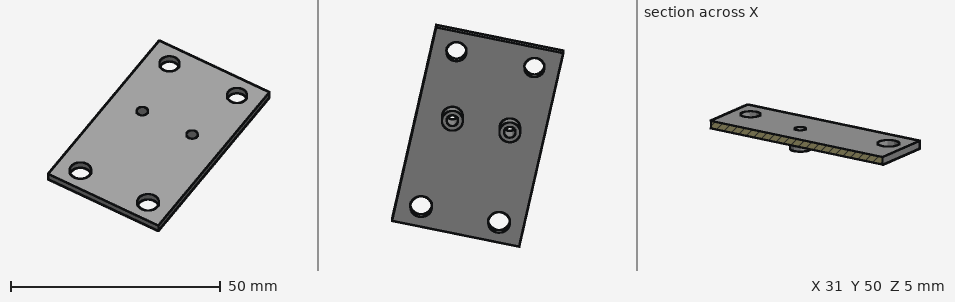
import cadquery as cq

plate_width = 31.0
plate_length = 50.0
plate_thickness = 2.0

corner_spacing_x = 19.0
corner_spacing_y = 40.0
back_hole_diameter = 4.8
front_hole_diameter = 5.2

standoff_spacing = 14.0
standoff_y = 3.8
standoff_diameter = 5.0
standoff_height = 3.0
bore_diameter = 2.7


def pair_of_points(spacing, y):
    """Two points mirrored about the YZ plane."""
    return [(-spacing / 2, y), (spacing / 2, y)]


def cylinders(points, diameter, bottom, height):
    """Equal upright cylinders standing on the level `bottom`."""
    return cq.Workplane("XY", origin=(0, 0, bottom)).pushPoints(points).circle(diameter / 2).extrude(height)


total_height = plate_thickness + standoff_height
standoff_points = pair_of_points(standoff_spacing, standoff_y)

plate = cq.Workplane("XY").box(plate_width, plate_length, plate_thickness, centered=(True, True, False))
standoffs = cylinders(standoff_points, standoff_diameter, -standoff_height, standoff_height)
bores = cylinders(standoff_points, bore_diameter, -standoff_height, total_height)

back_holes = cylinders(
    pair_of_points(corner_spacing_x, corner_spacing_y / 2), back_hole_diameter, 0, plate_thickness
)
front_holes = cylinders(
    pair_of_points(corner_spacing_x, -corner_spacing_y / 2), front_hole_diameter, 0, plate_thickness
)

result = plate.union(standoffs).cut(bores).cut(back_holes).cut(front_holes)